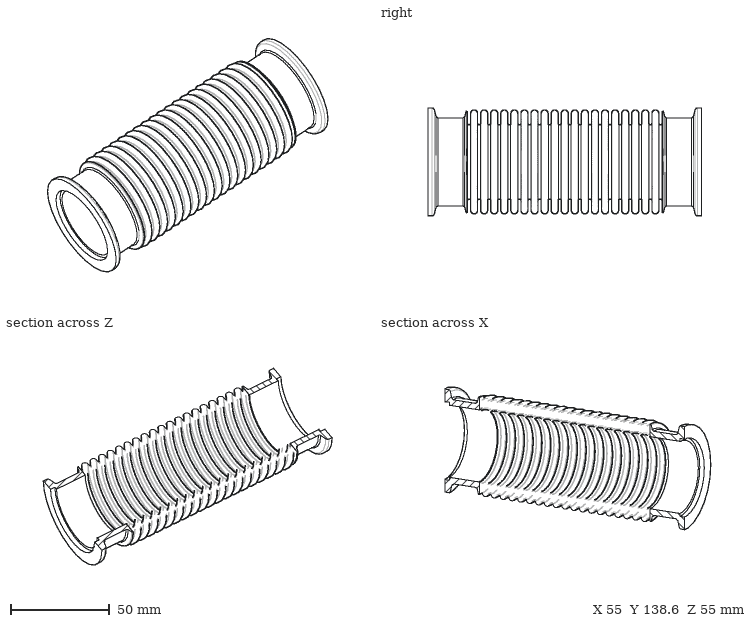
import cadquery as cq
import math


total_length = 138.6
fitting_length = 19.85
bellows_length = total_length - 2 * fitting_length

flange_radius = 55.0 / 2
rim_thickness = 3.05
rim_round = 1.4
tube_radius = 45.0 / 2
bore_radius = 38.1 / 2
seal_recess_radius = 41.2 / 2
seal_recess_depth = 2.6
taper_slope = math.tan(math.radians(15))
tube_fillet = 0.9
collar_radius = 51.6 / 2
collar_edge_thickness = 0.5
collar_round = 0.4

convolution_count = 19
pitch = 5.1
wall = 0.3
bellows_outer_radius = 53.2 / 2
bellows_inner_radius = 37.4 / 2
root_bend = (bellows_length - convolution_count * pitch) / 2 - wall
crest_bend = pitch / 2 - root_bend
root_center_radius = bellows_inner_radius + wall + root_bend
crest_center_radius = bellows_outer_radius - crest_bend


def make_fitting():
    """Fitting with its seal face at y = 0 and its welded end at y = fitting_length."""
    flange_taper_end = rim_thickness + (flange_radius - tube_radius) * taper_slope
    collar_edge_start = fitting_length - collar_edge_thickness
    collar_taper_start = collar_edge_start - (collar_radius - tube_radius) * taper_slope
    profile = (
        cq.Workplane("XY")
        .moveTo(seal_recess_radius, 0)
        .lineTo(flange_radius, 0)
        .lineTo(flange_radius, rim_thickness)
        .lineTo(tube_radius, flange_taper_end)
        .lineTo(tube_radius, collar_taper_start)
        .lineTo(collar_radius, collar_edge_start)
        .lineTo(collar_radius, fitting_length)
        .lineTo(bore_radius, fitting_length)
        .lineTo(bore_radius, seal_recess_depth)
        .lineTo(seal_recess_radius, seal_recess_depth)
        .close()
    )
    body = profile.revolve(360, (0, 0), (0, 1))
    body = body.edges(ring_selector(flange_radius, rim_thickness)).fillet(rim_round)
    body = body.edges(ring_selector(collar_radius, collar_edge_start)).fillet(collar_round)
    for y in (flange_taper_end, collar_taper_start):
        body = body.edges(ring_selector(tube_radius, y)).fillet(tube_fillet)
    return body


def ring_selector(radius, y):
    """Selector for the circular edge of the given radius at position y along the axis."""
    margin = 0.01
    reach = radius + margin
    return cq.selectors.BoxSelector(
        (-reach, y - margin, -reach), (reach, y + margin, reach), boundingbox=True
    )


def add_corrugations(path, start, direction, root_radius, crest_radius):
    """Trace one skin of the bellows along Y, from the first root bend to the last."""
    for i in range(convolution_count + 1):
        root_y = start + direction * i * pitch
        root_tip = (root_center_radius - root_radius, root_y)
        root_end = (root_center_radius, root_y + direction * root_radius)
        path = path.lineTo(root_center_radius, root_y - direction * root_radius)
        path = path.threePointArc(root_tip, root_end)
        if i < convolution_count:
            crest_y = root_y + direction * pitch / 2
            crest_tip = (crest_center_radius + crest_radius, crest_y)
            path = path.lineTo(crest_center_radius, crest_y - direction * crest_radius)
            crest_end = (crest_center_radius, crest_y + direction * crest_radius)
            path = path.threePointArc(crest_tip, crest_end)
    return path


def make_bellows():
    """Bellows centred on the origin, with a flat disc at each end."""
    end_y = bellows_length / 2
    last_root_y = convolution_count * pitch / 2
    path = cq.Workplane("XY").moveTo(collar_radius, -end_y + wall)
    path = add_corrugations(path, -last_root_y, 1, root_bend, crest_bend)
    path = path.lineTo(collar_radius, end_y - wall)
    path = path.lineTo(collar_radius, end_y)
    path = add_corrugations(path, last_root_y, -1, root_bend + wall, crest_bend - wall)
    path = path.lineTo(collar_radius, -end_y).close()
    return path.revolve(360, (0, 0), (0, 1))


bellows = make_bellows()

near_fitting = make_fitting().translate((0, -total_length / 2, 0))
fittings = [near_fitting, near_fitting.mirror("XZ")]

result = cq.Compound.makeCompound([bellows.val()] + [fitting.val() for fitting in fittings])